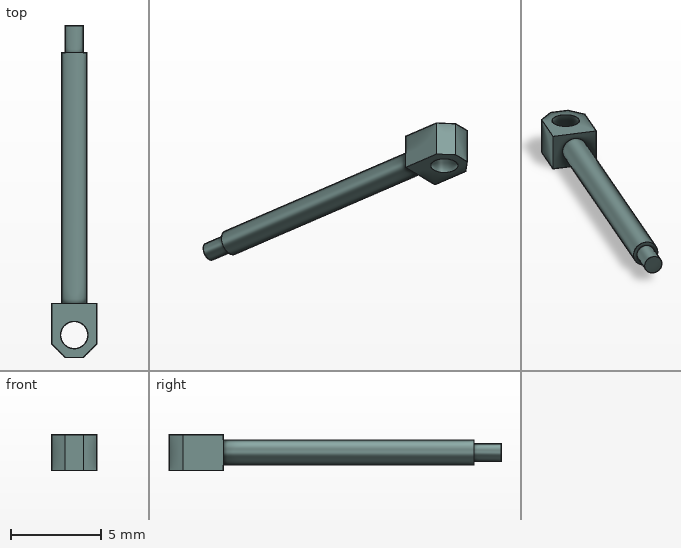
import cadquery as cq

head_width = 2.5
head_length = 3.0
head_height = 2.0
head_chamfer = 0.75
hole_diameter = 1.5
hole_to_front = head_width / 2

shank_diameter = 1.4
shank_length = 13.9
tip_diameter = 1.0
tip_length = 1.5

head_front = -hole_to_front
head_back = head_front + head_length
shank_end = head_back + shank_length


def make_head():
    """Block with its two front vertical edges chamfered and the eye hole cut through."""
    block = (
        cq.Workplane("XY")
        .box(head_width, head_length, head_height)
        .translate((0, (head_front + head_back) / 2, 0))
        .edges("|Z and <Y")
        .chamfer(head_chamfer)
    )
    hole = cq.Workplane("XY").circle(hole_diameter / 2).extrude(head_height, both=True)
    return block.cut(hole)


def make_rod(diameter, start, length):
    """Cylinder on the Y axis running from start towards +Y."""
    plane = cq.Plane(origin=(0, start, 0), xDir=(1, 0, 0), normal=(0, 1, 0))
    return cq.Workplane(plane).circle(diameter / 2).extrude(length)


shank = make_rod(shank_diameter, head_back, shank_length)
tip = make_rod(tip_diameter, shank_end, tip_length)
result = make_head().union(shank).union(tip)